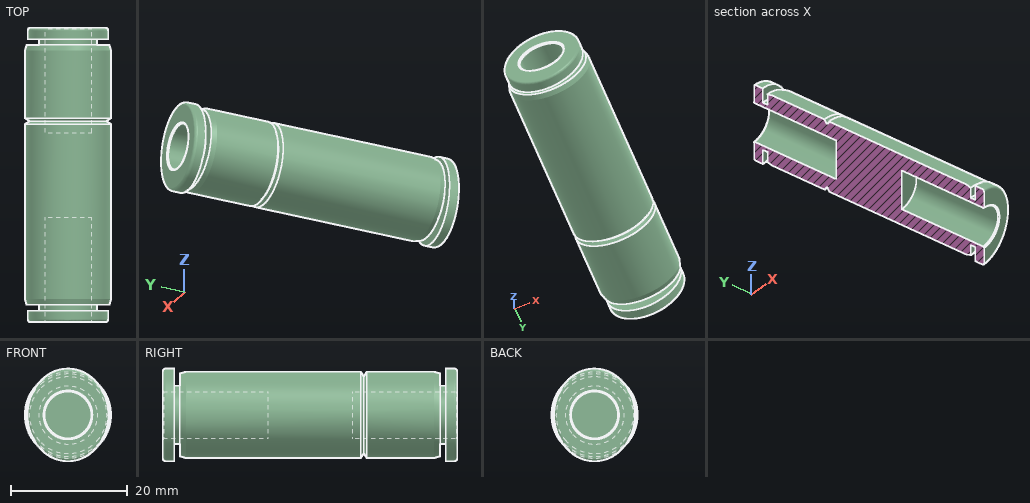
import cadquery as cq


total_length = 50.4
half_length = total_length / 2

collar_width = 13.8
collar_height = 15.9
collar_thickness = 2.0
collar_fillet = 0.5
neck_diameter = 10.0
neck_length = 0.95

body_diameter = 14.8
body_radius = body_diameter / 2
body_half_length = half_length - collar_thickness - neck_length
body_taper_length = 1.0
body_taper_depth = 0.3

groove_width = 1.0
groove_depth = 0.8
groove_center = half_length - 16.0

socket_diameter = 8.0
socket_depth = 18.0
socket_chamfer = 0.2


def make_body():
    """Revolve the body profile, with tapered ends and the V groove, about Y."""
    end_radius = body_radius - body_taper_depth
    taper_start = body_half_length - body_taper_length
    profile = (
        cq.Workplane("XY")
        .moveTo(0, -body_half_length)
        .lineTo(end_radius, -body_half_length)
        .lineTo(body_radius, -taper_start)
        .lineTo(body_radius, groove_center - groove_width / 2)
        .lineTo(body_radius - groove_depth, groove_center)
        .lineTo(body_radius, groove_center + groove_width / 2)
        .lineTo(body_radius, taper_start)
        .lineTo(end_radius, body_half_length)
        .lineTo(0, body_half_length)
        .close()
    )
    return profile.revolve(360, (0, 0, 0), (0, 1, 0))


def make_collar():
    """Oval collar and its neck at the -Y end."""
    front_plane = cq.Workplane("XZ", origin=(0, -half_length, 0))
    flange = (
        front_plane.ellipse(collar_width / 2, collar_height / 2)
        .extrude(-collar_thickness)
        .faces("<Y")
        .edges()
        .fillet(collar_fillet)
    )
    neck_reach = half_length - body_half_length
    neck = front_plane.circle(neck_diameter / 2).extrude(-neck_reach)
    return flange.union(neck)


def make_socket():
    """Blind socket, chamfered at its mouth, to be cut from the -Y end."""
    socket_radius = socket_diameter / 2
    mouth_radius = socket_radius + socket_chamfer
    profile = (
        cq.Workplane("XY")
        .moveTo(0, -half_length)
        .lineTo(mouth_radius, -half_length)
        .lineTo(socket_radius, -half_length + socket_chamfer)
        .lineTo(socket_radius, -half_length + socket_depth)
        .lineTo(0, -half_length + socket_depth)
        .close()
    )
    return profile.revolve(360, (0, 0, 0), (0, 1, 0))


collar = make_collar()
socket = make_socket()

result = (
    make_body()
    .union(collar)
    .union(collar.mirror("XZ"))
    .cut(socket)
    .cut(socket.mirror("XZ"))
)